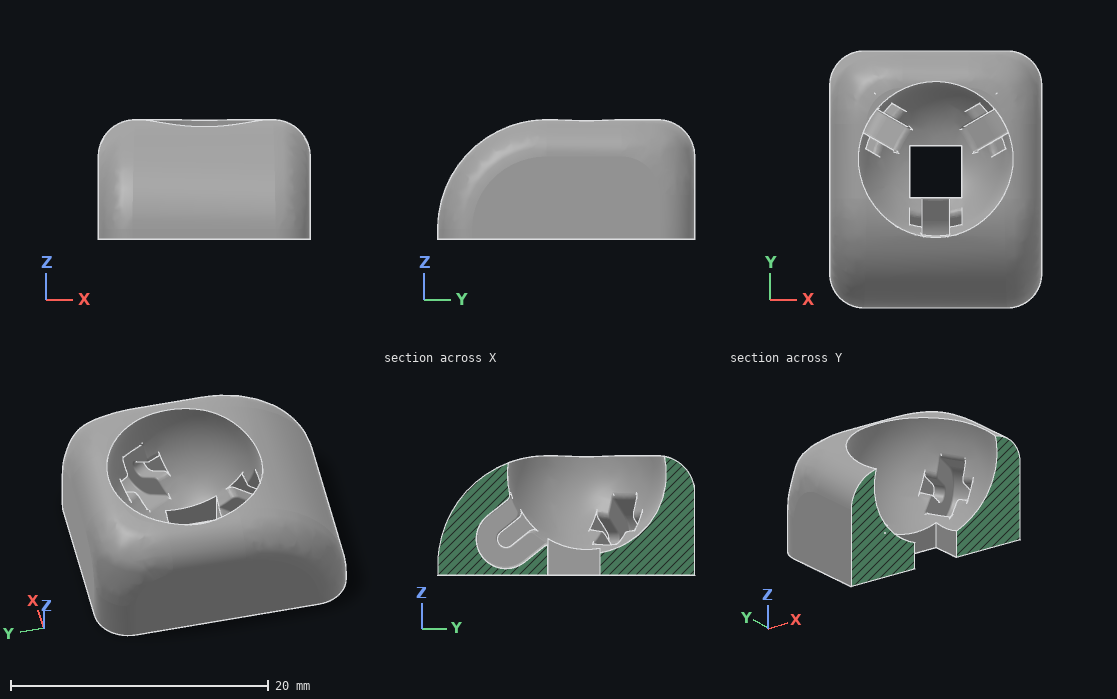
import cadquery as cq
import math

width = 16.5
length = 20.0
height = 9.3
front_radius = 8.5
top_round = 2.88
upright_round = 2.7

setback = 5.7
upright_setback = setback + top_round - upright_round
crown_inset = 1.5
ridge_inset = 1.0

mouth_radius = 6.0
ball_depth = 1.45
ball_radius = math.hypot(mouth_radius, ball_depth)
ball_centre = (0, 1.6, height - ball_depth)

pocket_count = 3
pocket_tilt = 38.6
first_pocket_angle = 30.0
axle_distance = 8.05
pocket_start = ball_radius / 2
roller_width = 2.12
roller_half_height = 2.3
pin_width = 4.08
pin_half_height = 0.65
mouth_round = 0.5
side_round = 0.15

opening_size = 4.05
opening_y = 0.6

TOLERANCE = 0.002
rear = length / 2
side = width / 2


def sharp_block():
    return (
        cq.Workplane("YZ")
        .moveTo(-rear, 0)
        .lineTo(rear, 0)
        .lineTo(rear, height)
        .lineTo(front_radius - rear, height)
        .radiusArc((-rear, height - front_radius), -front_radius)
        .close()
        .extrude(side, both=True)
        .val()
    )


def edge_radii(edge):
    """Start and end fillet radius: the upright value low down, growing to the top value."""
    low_end = height - front_radius
    radii = []
    for spot in (edge.positionAt(0), edge.positionAt(1)):
        on_upright = spot.z < low_end + TOLERANCE or edge.tangentAt(0).z ** 2 > 0.2 - TOLERANCE
        radii.append(upright_round if on_upright and edge.Center().z < height - TOLERANCE else top_round)
    return radii


def rounded_block():
    """Block with all edges above the base rounded; the front arcs carry a tapering radius."""
    block = sharp_block()
    builder = cq.occ_impl.shapes.BRepFilletAPI_MakeFillet(block.wrapped)
    for edge in block.Edges():
        centre = edge.Center()
        front_arc = edge.geomType() == "CIRCLE"
        rear_edge = centre.y > rear - TOLERANCE and centre.z > TOLERANCE
        if front_arc or rear_edge:
            builder.Add(top_round, edge.wrapped)
    for contour in range(1, builder.NbContours() + 1):
        for position in range(1, builder.NbEdges(contour) + 1):
            start, end = edge_radii(cq.Edge(builder.Edge(contour, position)))
            builder.SetRadius(start, end, contour, position)
    return cq.Workplane(cq.Shape.cast(builder.Shape()))


def corner_point(from_side, from_rear, from_top):
    return cq.Vector(from_side - side, rear - from_rear, height - from_top)


def quarter_arc(start, end, centre):
    middle = centre + (start + end - centre * 2) * math.sqrt(0.5)
    return cq.Edge.makeThreePointArc(start, middle, end)


def face_beside(arc, *points):
    """Flat face bounded by an arc and the straight lines from its end through points to its start."""
    corners = [arc.endPoint(), *points, arc.startPoint()]
    lines = [cq.Edge.makeLine(a, b) for a, b in zip(corners, corners[1:])]
    return cq.Face.makeFromWires(cq.Wire.assembleEdges([arc, *lines]))


def corner_blend():
    """Solid filling the box at the rear top corner on the -X side, under its free-form patch."""
    inner = corner_point(setback, setback, upright_setback)
    top_hub = corner_point(setback, setback, 0)
    side_hub = corner_point(0, setback, upright_setback)
    rear_hub = corner_point(setback, 0, upright_setback)

    top_of_side_edge = corner_point(top_round, setback, 0)
    side_of_side_edge = corner_point(0, setback, top_round)
    top_of_rear_edge = corner_point(setback, top_round, 0)
    rear_of_rear_edge = corner_point(setback, 0, top_round)
    side_of_upright = corner_point(0, upright_round, upright_setback)
    rear_of_upright = corner_point(upright_round, 0, upright_setback)

    side_edge = quarter_arc(
        side_of_side_edge, top_of_side_edge, corner_point(top_round, setback, top_round)
    )
    rear_edge = quarter_arc(
        top_of_rear_edge, rear_of_rear_edge, corner_point(setback, top_round, top_round)
    )
    upright = quarter_arc(
        rear_of_upright, side_of_upright, corner_point(upright_round, upright_round, upright_setback)
    )
    top_curve = quarter_arc(top_of_side_edge, top_of_rear_edge, top_hub)
    rear_curve = quarter_arc(rear_of_rear_edge, rear_of_upright, rear_hub)
    side_curve = quarter_arc(side_of_upright, side_of_side_edge, side_hub)

    ridge_middle = (setback + crown_inset) / 2
    patch = cq.Face.makeNSidedSurface(
        [side_edge, top_curve, rear_edge, rear_curve, upright, side_curve],
        [
            corner_point(crown_inset, crown_inset, crown_inset),
            corner_point(ridge_middle, ridge_inset, ridge_inset),
            corner_point(ridge_inset, ridge_middle, ridge_inset),
            corner_point(ridge_inset, ridge_inset, ridge_middle),
        ],
    )
    faces = [
        patch,
        face_beside(top_curve, top_hub),
        face_beside(rear_curve, rear_hub),
        face_beside(side_curve, side_hub),
        face_beside(side_edge, top_hub, inner, side_hub),
        face_beside(rear_edge, rear_hub, inner, top_hub),
        face_beside(upright, side_hub, inner, rear_hub),
    ]
    return cq.Workplane(cq.Solid.makeSolid(cq.Shell.makeShell(faces)))


def corner_box():
    return (
        cq.Workplane()
        .box(setback, setback, upright_setback, centered=False)
        .translate((-side, rear - setback, height - upright_setback))
    )


def housing():
    body = rounded_block()
    box = corner_box()
    blend = corner_blend()
    body = body.cut(box).union(blend)
    return body.cut(box.mirror("YZ")).union(blend.mirror("YZ"))


def slot(slot_width, half_height):
    """Slot with a round floor, entered along +X, with its axle parallel to Y."""
    return (
        cq.Workplane("XZ")
        .moveTo(pocket_start, -half_height)
        .lineTo(axle_distance, -half_height)
        .radiusArc((axle_distance, half_height), -half_height)
        .lineTo(pocket_start, half_height)
        .close()
        .extrude(slot_width / 2, both=True)
    )


def is_mouth_edge(edge):
    """Edge where the upper or lower wall of a slot meets the ball cavity."""
    middle = edge.positionAt(0.5)
    wall_heights = (roller_half_height, pin_half_height)
    on_wall = any(abs(abs(middle.z) - wall) < TOLERANCE for wall in wall_heights)
    return on_wall and abs(middle.Length - ball_radius) < TOLERANCE


def is_side_edge(edge):
    """Rim of a roller slot side wall, along the ball cavity and around the pin slot."""
    spots = [edge.positionAt(part) for part in (0, 0.5, 1)]
    if any(abs(abs(spot.y) - roller_width / 2) > TOLERANCE for spot in spots):
        return False
    middle = spots[1]
    near_ball = middle.Length < ball_radius + mouth_round
    around_pin = (
        abs(middle.z) < pin_half_height + TOLERANCE
        and middle.x < axle_distance + pin_half_height + TOLERANCE
    )
    return near_ball or around_pin


def pocket_cutter():
    """Ball with one bearing pocket, its mouth and side edges rounded, in its final place at angle 0."""
    ball = cq.Workplane().sphere(ball_radius).rotate((0, 0, 0), (0, 0, 1), 180)
    return (
        ball.union(slot(roller_width, roller_half_height))
        .union(slot(pin_width, pin_half_height))
        .edges()
        .filter(is_mouth_edge)
        .fillet(mouth_round)
        .edges()
        .filter(is_side_edge)
        .fillet(side_round)
        .rotate((0, 0, 0), (0, 1, 0), pocket_tilt)
    )


def cut_socket(body):
    cutter = pocket_cutter()
    for index in range(pocket_count):
        angle = first_pocket_angle + index * 360 / pocket_count
        body = body.cut(cutter.rotate((0, 0, 0), (0, 0, 1), angle).translate(ball_centre))
    return body


def floor_opening():
    return cq.Workplane().center(0, opening_y).rect(opening_size, opening_size).extrude(height)


result = cut_socket(housing()).cut(floor_opening())